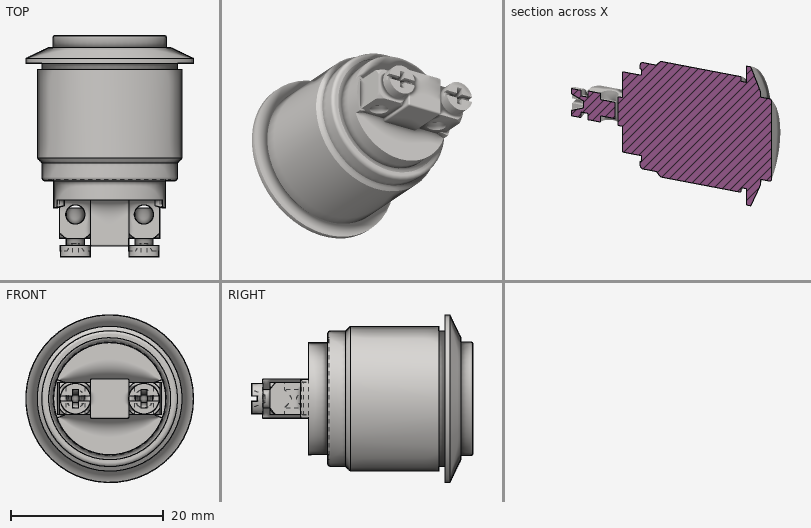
import cadquery as cq
import math


OVERALL_LENGTH = 29.0

CAP_Y = 3.65
CONE_Y = 2.1
RIM_Y = 0.65
NECK_Y = -0.78
BARREL_Y = -12.4
TAPER_Y = -13.02
COLLAR_Y = -15.4
BASE_Y = -17.92

CAP_D = 14.9
CONE_D = 16.0
FLANGE_D = 22.0
COLLAR_D = 17.8
BARREL_D = 19.0
BASE_D = 14.7

CAP_FILLET = 0.3
COLLAR_FILLET = 0.45
GROOVE_D = 16.0
GROOVE_DEPTH = 0.2

EAR_TIP_Y = -18.95
EAR_INNER_Y = -18.65
EAR_INNER_R = 6.32
EAR_ANGLE = 40.0
EAR_POCKET_X = 13.63
EAR_ROOT = 0.3

BLOCK_X = 5.05
BLOCK_Z = 5.2
BLOCK_Y = -23.95
BLOCK_FILLET = 0.2

TERMINAL_X = 4.5
TERMINAL_SIZE = 4.2
TERMINAL_Y = -22.95
TERMINAL_FACE_R = 2.45
TERMINAL_CHAMFER = 0.72
WIRE_HOLE_D = 2.5
WIRE_HOLE_Y = -19.8

SHANK_D = 2.4
SHANK_TIP_Y = -18.95
HEAD_D = 4.0
HEAD_Y = -23.85
SCREW_END_Y = CAP_Y - OVERALL_LENGTH
SLOT_Z = 0.67
SLOT_DEPTH = 0.72
SLOT_FLOOR_Y = SCREW_END_Y + SLOT_DEPTH
UPRIGHT_ARM_WIDTH = 0.75
UPRIGHT_ARM_LENGTH = 2.38
LEVEL_ARM_LENGTH = 2.23
CROSS_BOTTOM = 1.0
CROSS_DEPTH = 1.75
CROSS_BOTTOM_Y = SCREW_END_Y + CROSS_DEPTH


def cylinder(diameter, start_y, end_y, x=0):
    """Cylinder along Y from start_y down to end_y."""
    plane = cq.Workplane("XZ", origin=(x, start_y, 0))
    return plane.circle(diameter / 2).extrude(start_y - end_y)


def block(size_x, size_z, start_y, end_y, x=0):
    """Rectangular bar along Y from start_y down to end_y."""
    plane = cq.Workplane("XZ", origin=(x, start_y, 0))
    return plane.rect(size_x, size_z).extrude(start_y - end_y)


def revolve_profile(points, angle=360):
    """Turn a closed (radius, y) outline about the Y axis."""
    outline = cq.Workplane("XY").polyline(points).close()
    return outline.revolve(angle, (0, 0, 0), (0, 1, 0))


def housing():
    cap = cylinder(CAP_D, CAP_Y, 0).faces(">Y").edges().fillet(CAP_FILLET)
    flange_and_barrel = revolve_profile([
        (0, CONE_Y),
        (CONE_D / 2, CONE_Y),
        (FLANGE_D / 2, RIM_Y),
        (FLANGE_D / 2, 0),
        (COLLAR_D / 2, 0),
        (COLLAR_D / 2, NECK_Y),
        (BARREL_D / 2, NECK_Y),
        (BARREL_D / 2, BARREL_Y),
        (COLLAR_D / 2, TAPER_Y),
        (0, TAPER_Y),
    ])
    collar = cylinder(COLLAR_D, TAPER_Y, COLLAR_Y).faces("<Y").edges().fillet(COLLAR_FILLET)
    groove = cylinder(GROOVE_D, COLLAR_Y + GROOVE_DEPTH, COLLAR_Y)
    base = cylinder(BASE_D, TAPER_Y, BASE_Y)
    return cap.union(flange_and_barrel).union(collar).cut(groove).union(base)


def ears():
    """Two rim sectors with inward sloping tips, opened up around the terminals."""
    sector = revolve_profile([
        (EAR_INNER_R, BASE_Y + EAR_ROOT),
        (BASE_D / 2, BASE_Y + EAR_ROOT),
        (BASE_D / 2, EAR_TIP_Y),
        (EAR_INNER_R, EAR_INNER_Y),
    ], EAR_ANGLE)
    right_ear = sector.rotate((0, 0, 0), (0, 1, 0), -EAR_ANGLE / 2)
    pocket = block(EAR_POCKET_X, TERMINAL_SIZE, BASE_Y, EAR_TIP_Y)
    left_ear = right_ear.mirror("YZ")
    return right_ear.union(left_ear).cut(pocket)


def centre_block():
    body = block(BLOCK_X, BLOCK_Z, BASE_Y, BLOCK_Y)
    return body.edges("|Y or <Y").fillet(BLOCK_FILLET)


def terminal(x):
    body = block(TERMINAL_SIZE, TERMINAL_SIZE, BASE_Y, TERMINAL_Y, x)
    corner_r = TERMINAL_SIZE / math.sqrt(2)
    chamfer_envelope = revolve_profile([
        (0, BASE_Y),
        (corner_r, BASE_Y),
        (corner_r, TERMINAL_Y + TERMINAL_CHAMFER),
        (TERMINAL_FACE_R, TERMINAL_Y),
        (0, TERMINAL_Y),
    ])
    hole_plane = cq.Workplane("XY", origin=(x, WIRE_HOLE_Y, 0))
    wire_hole = hole_plane.circle(WIRE_HOLE_D / 2).extrude(TERMINAL_SIZE, both=True)
    return body.intersect(chamfer_envelope.translate((x, 0, 0))).cut(wire_hole)


def tapered_arm(length, width, top_y):
    """Recess across X at the axis, narrowing from its length at top_y to the bottom of the cross."""
    outline = [
        (-length / 2, top_y),
        (length / 2, top_y),
        (CROSS_BOTTOM / 2, CROSS_BOTTOM_Y),
        (-CROSS_BOTTOM / 2, CROSS_BOTTOM_Y),
    ]
    return cq.Workplane("XY").polyline(outline).close().extrude(width / 2, both=True)


def cross_recess(x):
    """Cross socket: upright arms from the head face, level arms from the slot floor."""
    upright_arm = tapered_arm(UPRIGHT_ARM_LENGTH, UPRIGHT_ARM_WIDTH, SCREW_END_Y)
    upright_arm = upright_arm.rotate((0, 0, 0), (0, 1, 0), 90)
    level_arm = tapered_arm(LEVEL_ARM_LENGTH, SLOT_Z, SLOT_FLOOR_Y)
    return upright_arm.union(level_arm).translate((x, 0, 0))


def screw(x):
    shank = cylinder(SHANK_D, SHANK_TIP_Y, HEAD_Y, x)
    head = cylinder(HEAD_D, HEAD_Y, SCREW_END_Y, x)
    slot = block(HEAD_D, SLOT_Z, SLOT_FLOOR_Y, SCREW_END_Y, x)
    return shank.union(head).cut(slot).cut(cross_recess(x))


result = housing().union(ears()).union(centre_block())
for side in (-1, 1):
    result = result.union(terminal(side * TERMINAL_X))
    result = result.union(screw(side * TERMINAL_X))